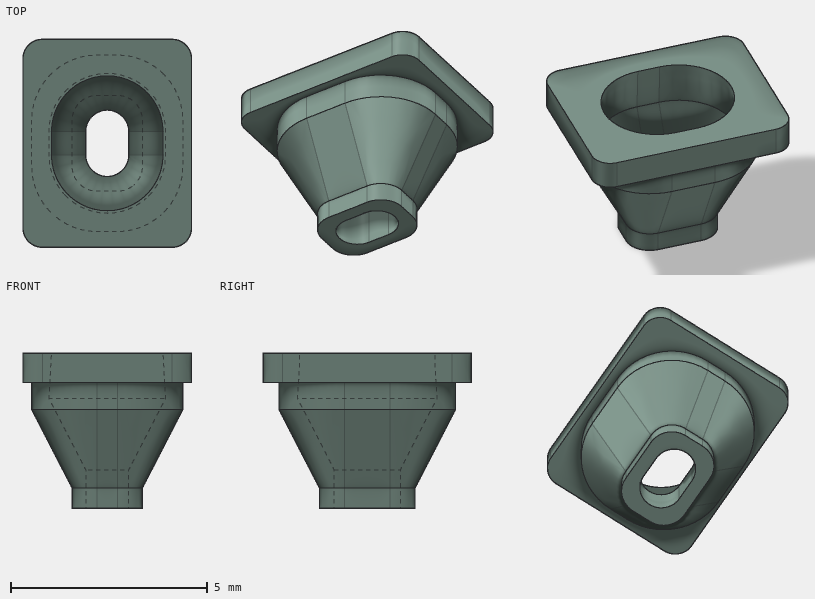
import cadquery as cq

flange_x = 4.3
flange_y = 5.3
flange_thickness = 0.745
flange_corner_radius = 0.5

body_flat_x = 0.52
body_flat_y = 1.165
collar_radius = 1.665
spout_radius = 0.635
total_height = 3.95
collar_height = 0.69
spout_height = 0.52

slot_flat = 0.595
mouth_radius = 1.42
mouth_base_radius = 1.485
throat_radius = 0.545
mouth_depth = 1.15

flange_bottom = total_height - flange_thickness
collar_bottom = flange_bottom - collar_height
mouth_bottom = total_height - mouth_depth

taper_rise_per_radius = (collar_bottom - spout_height) / (collar_radius - spout_radius)
throat_top = mouth_bottom - (mouth_base_radius - throat_radius) * taper_rise_per_radius


def body_section(radius):
    """Rounded rectangle of the outer body with the given corner radius."""
    size_x = body_flat_x + 2 * radius
    size_y = body_flat_y + 2 * radius
    return cq.Sketch().rect(size_x, size_y).vertices().fillet(radius)


def body_prism(z, radius, height):
    base = cq.Workplane("XY").workplane(offset=z)
    return base.placeSketch(body_section(radius)).extrude(height)


def body_taper():
    lower = body_section(spout_radius)
    upper = body_section(collar_radius)
    rise = cq.Location(cq.Vector(0, 0, collar_bottom - spout_height))
    base = cq.Workplane("XY").workplane(offset=spout_height)
    return base.placeSketch(lower, upper.moved(rise)).loft(ruled=True)


def slot_segment(z_low, radius_low, z_high, radius_high):
    """Slot-shaped solid whose end radius changes evenly between two heights."""
    return (
        cq.Workplane("XY")
        .workplane(offset=z_low)
        .slot2D(slot_flat + 2 * radius_low, 2 * radius_low, 90)
        .workplane(offset=z_high - z_low)
        .slot2D(slot_flat + 2 * radius_high, 2 * radius_high, 90)
        .loft(ruled=True)
    )


flange = (
    cq.Workplane("XY")
    .workplane(offset=flange_bottom)
    .rect(flange_x, flange_y)
    .extrude(flange_thickness)
    .edges("|Z")
    .fillet(flange_corner_radius)
)
collar = body_prism(collar_bottom, collar_radius, collar_height)
spout = body_prism(0, spout_radius, spout_height)
body = flange.union(collar).union(body_taper()).union(spout)

mouth = slot_segment(mouth_bottom, mouth_base_radius, total_height, mouth_radius)
funnel = slot_segment(throat_top, throat_radius, mouth_bottom, mouth_base_radius)
throat = slot_segment(0, throat_radius, throat_top, throat_radius)
passage = mouth.union(funnel).union(throat)

result = body.cut(passage)